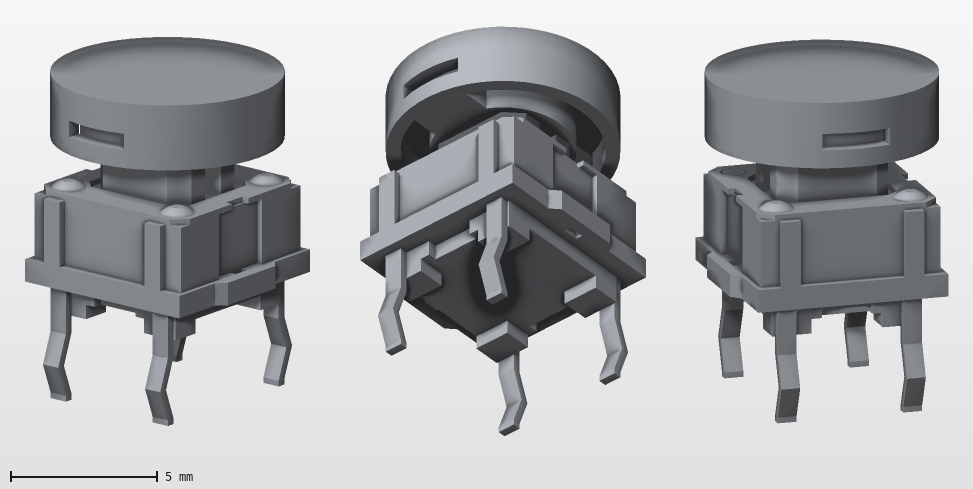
import cadquery as cq
import math

PIN_TIP_Z = -4.08
FOOT_BOTTOM_Z = -1.1
FOOT_NOTCH_Z = -0.58
FLANGE_TOP_Z = 0.8
HOUSING_TOP_Z = 3.11
PLATE_TOP_Z = 3.32
RIVET_TOP_Z = 3.53
CAP_BOTTOM_Z = 5.0
CAP_TOP_Z = 7.32

CAP_DIAMETER = 8.0
CAP_BORE_DIAMETER = 7.0
WINDOW_WIDTH = 2.42
WINDOW_BOTTOM_Z = 5.64
WINDOW_TOP_Z = 6.22

CARRIER_HUB_DIAMETER = 5.0
CARRIER_CLEARANCE = 0.06
CARRIER_TOP_Z = WINDOW_TOP_Z - CARRIER_CLEARANCE
CARRIER_ARM_WIDTH = WINDOW_WIDTH - 2 * CARRIER_CLEARANCE

PLUNGER_LENGTH = 4.0
PLUNGER_WIDTH = 3.49
PLUNGER_CHAMFER = 0.59
PLUNGER_SLOT_WIDTH = 0.88
PLUNGER_FLANGE_DIAMETER = 5.0
PLUNGER_FLANGE_THICKNESS = 0.34

BODY_SIDE = 6.43
PLATE_CHAMFER = 0.5
PLATE_OPENING_CLEARANCE = 0.19
PLATE_OPENING_CHAMFER = 0.41
PLATE_NOTCH_WIDTH = 0.88
PLATE_NOTCH_DEPTH = 0.27
SIDE_RECESS_WIDTH = 2.33
SIDE_RECESS_DEPTH = 0.2
RIVET_SPACING = 4.8
RIVET_POST_DIAMETER = 0.8
RIVET_HOLE_DIAMETER = 0.9
RIVET_HEAD_DIAMETER = 1.17
RIVET_FLAT_DIAMETER = 0.43

FLANGE_LENGTH = 6.8
FLANGE_WIDTH = 7.03
LUG_PROJECTION = 0.31
LUG_TIP_WIDTH = 2.55
LUG_ROOT_WIDTH = 3.21
POCKET_WIDTH = 0.62
POCKET_DEPTH = 0.25

RIB_WIDTH = 0.67
RIB_SPACING = 4.42

FOOT_LENGTH = 5.34
FOOT_WIDTH = 5.65
FOOT_GAP_X = 2.55
FOOT_GAP_Y = 3.49
FOOT_RECESS_WIDTH = 1.8
FOOT_RECESS_DEPTH = 0.34

PIN_WIDTH = 0.67
PIN_SPACING = 4.49
PIN_THICKNESS = 0.31
PIN_KNEE_OFFSET = 0.41
PIN_BEND_TOP_Z = -1.68
PIN_KNEE_Z = -2.78
PIN_BEND_BOTTOM_Z = -3.88


def block(length, width, bottom_z, top_z, x=0, y=0):
    """Upright box centred on (x, y)."""
    return (
        cq.Workplane("XY", origin=(x, y, bottom_z))
        .rect(length, width)
        .extrude(top_z - bottom_z)
    )


def chamfered_block(length, width, chamfer, bottom_z, top_z):
    """Upright box with its four vertical edges chamfered."""
    return block(length, width, bottom_z, top_z).edges("|Z").chamfer(chamfer)


def cylinder(diameter, bottom_z, top_z, x=0, y=0):
    """Upright cylinder centred on (x, y)."""
    return (
        cq.Workplane("XY", origin=(x, y, bottom_z))
        .circle(diameter / 2)
        .extrude(top_z - bottom_z)
    )


def corner_points(spacing_x, spacing_y):
    """Four corners of a rectangle centred on the Z axis."""
    return [
        (side_x * spacing_x / 2, side_y * spacing_y / 2)
        for side_x in (-1, 1)
        for side_y in (-1, 1)
    ]


POST_POINTS = corner_points(RIVET_SPACING, RIVET_SPACING)
FLUSH_POST_POINT = (-RIVET_SPACING / 2, RIVET_SPACING / 2)


def make_cap():
    body = cylinder(CAP_DIAMETER, CAP_BOTTOM_Z, CAP_TOP_Z)
    bore = cylinder(CAP_BORE_DIAMETER, CAP_BOTTOM_Z, WINDOW_TOP_Z)
    windows = block(WINDOW_WIDTH, CAP_DIAMETER, WINDOW_BOTTOM_Z, WINDOW_TOP_Z)
    return body.cut(bore).cut(windows)


def make_carrier():
    hub = cylinder(CARRIER_HUB_DIAMETER, CAP_BOTTOM_Z, CARRIER_TOP_Z)
    bore = cylinder(CAP_BORE_DIAMETER, CAP_BOTTOM_Z, CARRIER_TOP_Z)
    arms = block(CARRIER_ARM_WIDTH, CAP_BORE_DIAMETER, CAP_BOTTOM_Z, CARRIER_TOP_Z).intersect(bore)
    return hub.union(arms)


def make_plunger_flange():
    return cylinder(PLUNGER_FLANGE_DIAMETER, HOUSING_TOP_Z - PLUNGER_FLANGE_THICKNESS, HOUSING_TOP_Z)


def make_plunger():
    legs = chamfered_block(
        PLUNGER_LENGTH, PLUNGER_WIDTH, PLUNGER_CHAMFER, HOUSING_TOP_Z, CAP_BOTTOM_Z
    )
    slot = block(PLUNGER_LENGTH, PLUNGER_SLOT_WIDTH, HOUSING_TOP_Z, CAP_BOTTOM_Z)
    return make_plunger_flange().union(legs.cut(slot))


def make_plate():
    plate = chamfered_block(BODY_SIDE, BODY_SIDE, PLATE_CHAMFER, HOUSING_TOP_Z, PLATE_TOP_Z)
    opening = chamfered_block(
        PLUNGER_LENGTH + 2 * PLATE_OPENING_CLEARANCE,
        PLUNGER_WIDTH + 2 * PLATE_OPENING_CLEARANCE,
        PLATE_OPENING_CHAMFER,
        HOUSING_TOP_Z,
        PLATE_TOP_Z,
    )
    plate = plate.cut(opening)
    for x, y in POST_POINTS:
        plate = plate.cut(cylinder(RIVET_HOLE_DIAMETER, HOUSING_TOP_Z, PLATE_TOP_Z, x, y))
    notch_x = (BODY_SIDE - PLATE_NOTCH_DEPTH) / 2
    for side in (-1, 1):
        notch = block(PLATE_NOTCH_DEPTH, PLATE_NOTCH_WIDTH, HOUSING_TOP_Z, PLATE_TOP_Z, side * notch_x)
        plate = plate.cut(notch)
    return plate


def make_box():
    box = block(BODY_SIDE, BODY_SIDE, 0, HOUSING_TOP_Z)
    recess_x = (BODY_SIDE - SIDE_RECESS_DEPTH) / 2
    for side in (-1, 1):
        recess = block(SIDE_RECESS_DEPTH, SIDE_RECESS_WIDTH, FLANGE_TOP_Z, HOUSING_TOP_Z, side * recess_x)
        box = box.cut(recess)
    return box


def make_lugs():
    """Trapezoidal lugs on both X ends of the flange."""
    root_x = FLANGE_LENGTH / 2
    tip_x = root_x + LUG_PROJECTION
    outline = [
        (-root_x, -LUG_ROOT_WIDTH / 2),
        (-tip_x, -LUG_TIP_WIDTH / 2),
        (-tip_x, LUG_TIP_WIDTH / 2),
        (-root_x, LUG_ROOT_WIDTH / 2),
        (root_x, LUG_ROOT_WIDTH / 2),
        (tip_x, LUG_TIP_WIDTH / 2),
        (tip_x, -LUG_TIP_WIDTH / 2),
        (root_x, -LUG_ROOT_WIDTH / 2),
    ]
    return cq.Workplane("XY").polyline(outline).close().extrude(FLANGE_TOP_Z)


def make_flange():
    return block(FLANGE_LENGTH, FLANGE_WIDTH, 0, FLANGE_TOP_Z).union(make_lugs())


def make_flange_pocket(side):
    """Pocket through the flange, against the recessed side wall of the box."""
    wall_x = BODY_SIDE / 2 - SIDE_RECESS_DEPTH
    return block(POCKET_DEPTH, POCKET_WIDTH, 0, FLANGE_TOP_Z, side * (wall_x + POCKET_DEPTH / 2))


def make_rib(x, side):
    rib_depth = (FLANGE_WIDTH - BODY_SIDE) / 2
    rib_y = (FLANGE_WIDTH - rib_depth) / 2
    return block(RIB_WIDTH, rib_depth, FLANGE_TOP_Z, HOUSING_TOP_Z, x, side * rib_y)


def make_feet():
    feet = block(FOOT_LENGTH, FOOT_WIDTH, FOOT_BOTTOM_Z, 0)
    feet = feet.cut(block(FOOT_GAP_X, FOOT_WIDTH, FOOT_BOTTOM_Z, FOOT_NOTCH_Z))
    feet = feet.cut(block(FOOT_LENGTH, FOOT_GAP_Y, FOOT_BOTTOM_Z, FOOT_NOTCH_Z))
    recess_y = (FOOT_WIDTH - FOOT_RECESS_DEPTH) / 2
    for side in (-1, 1):
        recess = block(FOOT_RECESS_WIDTH, FOOT_RECESS_DEPTH, FOOT_NOTCH_Z, 0, 0, side * recess_y)
        feet = feet.cut(recess)
    return feet


def make_pin(x, side):
    """Flat pin against the side of the feet, with an outward knee."""
    inner_y = FOOT_WIDTH / 2
    inner_edge = [
        (inner_y, 0),
        (inner_y, PIN_BEND_TOP_Z),
        (inner_y + PIN_KNEE_OFFSET, PIN_KNEE_Z),
        (inner_y, PIN_BEND_BOTTOM_Z),
        (inner_y, PIN_TIP_Z),
    ]
    outer_edge = [(y + PIN_THICKNESS, z) for y, z in reversed(inner_edge)]
    outline = [(side * y, z) for y, z in inner_edge + outer_edge]
    return (
        cq.Workplane("YZ", origin=(x, 0, 0))
        .polyline(outline)
        .close()
        .extrude(PIN_WIDTH / 2, both=True)
    )


def make_post(x, y):
    """Post that stands with clearance in a hole of the cover plate, flush with its top."""
    return cylinder(RIVET_POST_DIAMETER, HOUSING_TOP_Z, PLATE_TOP_Z, x, y)


def make_rivet_head(x, y):
    """Spherical head with a flat top, resting on the cover plate."""
    rim = RIVET_HEAD_DIAMETER / 2
    flat = RIVET_FLAT_DIAMETER / 2
    height = RIVET_TOP_Z - PLATE_TOP_Z
    centre_depth = (rim**2 - flat**2 - height**2) / (2 * height)
    radius = math.hypot(rim, centre_depth)
    middle = (rim + flat) / 2
    middle_height = math.sqrt(radius**2 - middle**2) - centre_depth
    return (
        cq.Workplane("XZ", origin=(x, y, PLATE_TOP_Z))
        .lineTo(rim, 0)
        .threePointArc((middle, middle_height), (flat, height))
        .lineTo(0, height)
        .close()
        .revolve(360, (0, 0), (0, 1))
    )


def make_housing():
    housing = make_box().union(make_flange()).union(make_feet())
    housing = housing.cut(make_plunger_flange())
    for side in (-1, 1):
        housing = housing.cut(make_flange_pocket(side))
        for x in (-RIB_SPACING / 2, RIB_SPACING / 2):
            housing = housing.union(make_rib(x, side))
        for x in (-PIN_SPACING / 2, PIN_SPACING / 2):
            housing = housing.union(make_pin(x, side))
    for x, y in POST_POINTS:
        housing = housing.union(make_post(x, y))
        if (x, y) != FLUSH_POST_POINT:
            housing = housing.union(make_rivet_head(x, y))
    return housing


cap = make_cap()
carrier = make_carrier()
plunger = make_plunger()
plate = make_plate()
housing = make_housing()

result = cq.Compound.makeCompound(
    [body.solids().val() for body in (cap, carrier, plunger, plate, housing)]
)